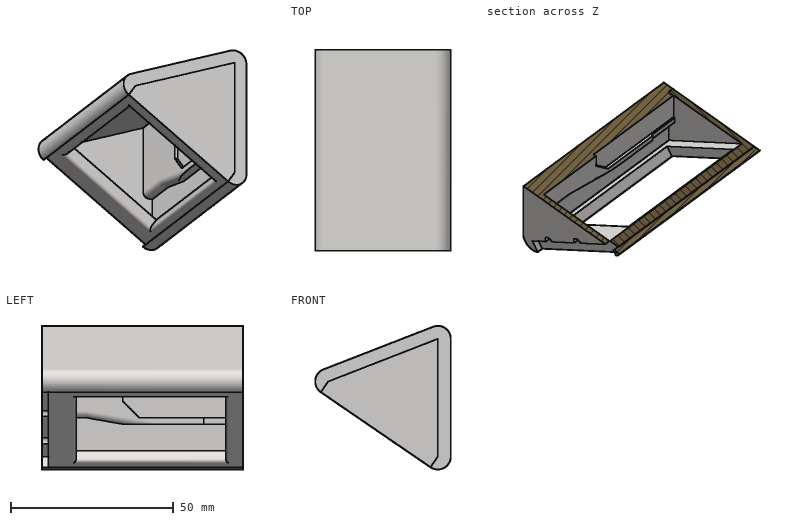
import cadquery as cq
import math

length = 62.0
overall_width = 41.85
overall_height = 44.3
wall = 4.0
left_corner_height = 23.1
end_plate = 2.0

bottom_corner = (0.0, 0.0)
top_corner = (0.0, overall_height - 2 * wall)
left_corner = (-(overall_width - 2 * wall), left_corner_height)
interior = [left_corner, top_corner, bottom_corner]

slant_length = math.dist(left_corner, bottom_corner)
slant_middle = (left_corner[0] / 2, left_corner[1] / 2)
downhill = (-left_corner[0] / slant_length, -left_corner[1] / slant_length)
outward = (downhill[1], -downhill[0])

window_length = 46.0
window_height = 34.55
window_y = -2.6
window_rounding = 1.0

notch_radius = 1.55
notch_spacing = 14.9
notch_shift = 4.45

rib_depth = 3.1
rib_bottom = 10.0
rib_raised_bottom = 11.95
rib_slope_start = 17.4
rib_slope = 10.0
rib_rounding = 2.0
recess_depth = 1.0
recess_bottom = 11.95
recess_chamfer_top = 17.05
recess_back = 6.1
step_depth = 0.5
step_back = -18.85

back = length / 2
front = -length / 2
back_plate_front = back - end_plate
front_plate_back = front + end_plate


def prism(points, y_start, y_end):
    """Extrude an XZ outline from y_start to y_end."""
    return cq.Workplane("XZ", origin=(0, y_start, 0)).polyline(points).close().extrude(y_start - y_end)


def side_prism(points, x_start, x_end):
    """Extrude a YZ outline from x_start to x_end."""
    return cq.Workplane("YZ", origin=(x_start, 0, 0)).polyline(points).close().extrude(x_end - x_start)


def slanted_slab(y_start, y_end):
    """The wall-thick layer outside the slanted side of the interior."""
    middle = (slant_middle[0], (y_start + y_end) / 2, slant_middle[1])
    plane = cq.Plane(origin=middle, xDir=(0, 1, 0), normal=(outward[0], 0, outward[1]))
    return cq.Workplane(plane).rect(y_end - y_start, slant_length).extrude(wall)


def make_walls():
    """Rounded triangular tube, open along the slanted side."""
    outline = cq.Workplane("XZ", origin=(0, front, 0)).polyline(interior).close().offset2D(wall)
    tube = outline.extrude(-length)
    return tube.cut(prism(interior, front, back)).cut(slanted_slab(front, back))


def make_back_plate():
    """Triangular plate with two half-round notches in its slanted edge."""
    plate = prism(interior, back_plate_front, back)
    for side in (-1, 1):
        along = notch_shift + side * notch_spacing / 2
        centre = (slant_middle[0] + along * downhill[0], slant_middle[1] + along * downhill[1])
        notch = (
            cq.Workplane("XZ", origin=(0, back_plate_front, 0))
            .center(*centre).circle(notch_radius).extrude(-end_plate)
        )
        plate = plate.cut(notch)
    return plate


def make_rib():
    """Rib on the upright wall, with a rounded rising underside and a recessed face."""
    face = -rib_depth
    drop = (rib_slope_start - front_plate_back) * math.tan(math.radians(rib_slope))
    rib = side_prism(
        [
            (back_plate_front, rib_raised_bottom),
            (rib_slope_start, rib_raised_bottom),
            (front_plate_back, rib_raised_bottom - drop),
            (front_plate_back, top_corner[1]),
            (back_plate_front, top_corner[1]),
        ],
        face, 0,
    )
    underside_edges = rib.faces("<X").edges("not(|Z)").edges("not(>Z)")
    rib = underside_edges.fillet(rib_rounding)
    below = cq.Workplane("XY").box(2 * rib_depth, length, 2 * length).translate((0, 0, rib_bottom - length))
    return rib.cut(below).cut(make_rib_recess(face)).intersect(prism(interior, front, back))


def make_rib_recess(face):
    """Recess with one bevelled corner in the rib face, and a shallow step beneath its front end."""
    bevel = recess_chamfer_top - recess_bottom
    recess = side_prism(
        [
            (front_plate_back, recess_bottom),
            (recess_back - bevel, recess_bottom),
            (recess_back, recess_chamfer_top),
            (recess_back, top_corner[1]),
            (front_plate_back, top_corner[1]),
        ],
        face, face + recess_depth,
    )
    step = side_prism(
        [
            (front_plate_back, rib_bottom),
            (step_back, rib_bottom),
            (step_back, recess_bottom),
            (front_plate_back, recess_bottom),
        ],
        face, face + step_depth,
    )
    return recess.union(step)


def make_housing():
    """Open tube, back plate and inner rib in one piece."""
    return make_walls().union(make_back_plate()).union(make_rib())


def make_cover():
    """Slanted slab with a rounded window, closed by the triangular front plate."""
    outward_3d = cq.Vector(outward[0], 0, outward[1])
    middle = (slant_middle[0], window_y, slant_middle[1])
    plane = cq.Plane(origin=middle, xDir=(0, 1, 0), normal=outward_3d)
    window = cq.Workplane(plane).rect(window_length, window_height).extrude(wall)
    slab = slanted_slab(front, back_plate_front).cut(window)
    outer_face = slab.faces(cq.DirectionMinMaxSelector(outward_3d)).val()
    rim = outer_face.innerWires()[0].Edges()
    slab = slab.newObject([slab.val().fillet(window_rounding, rim)])
    return slab.union(prism(interior, front, front_plate_back))


housing = make_housing()
cover = make_cover()
result = cq.Compound.makeCompound([housing.solids().val(), cover.solids().val()])